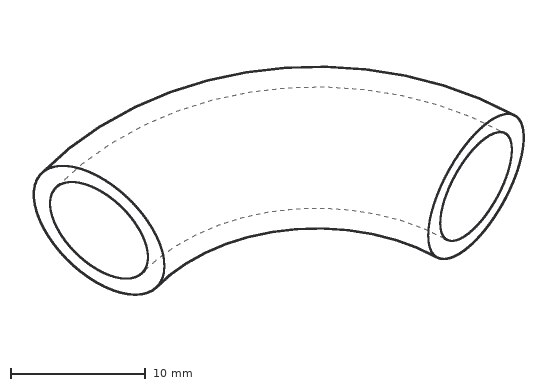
import cadquery as cq

overall_reach = 26.0
outer_diameter = 12.0
inner_diameter = 9.0
bend_angle = 90.0

bend_radius = overall_reach - outer_diameter / 2

pipe_section = (
    cq.Workplane("XZ")
    .center(-bend_radius, 0)
    .circle(outer_diameter / 2)
    .circle(inner_diameter / 2)
)

axis_start = (bend_radius, 0)
axis_end = (bend_radius, -1)
result = pipe_section.revolve(bend_angle, axis_start, axis_end)